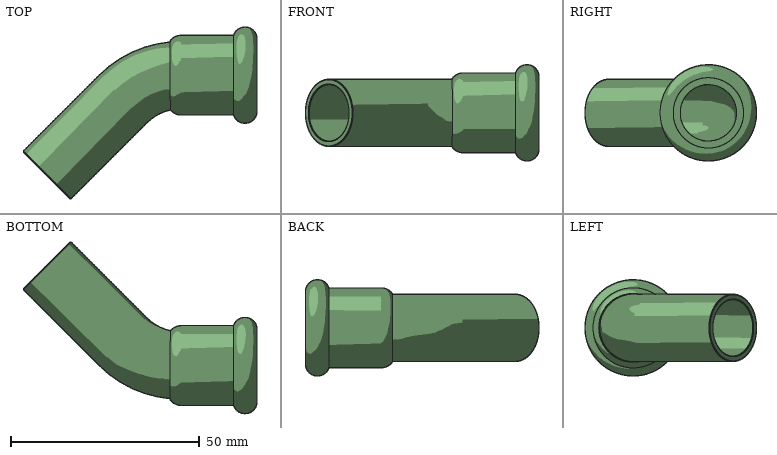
import cadquery as cq
import math


pipe_diameter = 18.0
pipe_bore = 15.0
bend_angle = 45
bend_radius = 21.6
straight_length = 28.7
end_chamfer = 0.2

socket_diameter = 21.3
socket_bore = 18.7
socket_depth = 20.15
bend_to_mouth = 20.4
shoulder_length = 3.0
shoulder_end_diameter = 18.3

bead_diameter = 25.7
bead_section_radius = 3.25

mouth_x = bend_to_mouth
shoulder_start_x = mouth_x - socket_depth
shoulder_end_x = shoulder_start_x - shoulder_length
bead_x = mouth_x - bead_section_radius

turn = math.radians(bend_angle)
bend_end = (-bend_radius * math.sin(turn), -bend_radius * (1 - math.cos(turn)))
pipe_direction = (-math.cos(turn), -math.sin(turn), 0)


def bent_rod(diameter):
    """Solid rod along the bend, up to the start of the straight pipe."""
    return (
        cq.Workplane("YZ")
        .circle(diameter / 2)
        .revolve(bend_angle, (-bend_radius, 0), (-bend_radius, 1))
    )


def straight_rod(diameter):
    """Solid rod from the end of the bend to the free pipe end."""
    start = cq.Plane(origin=(*bend_end, 0), xDir=(0, 0, 1), normal=pipe_direction)
    return cq.Workplane(start).circle(diameter / 2).extrude(straight_length)


def straight_pipe():
    """Straight tube with both edges of its free end chamfered."""
    tube = straight_rod(pipe_diameter).cut(straight_rod(pipe_bore))
    free_end = cq.Vector(*pipe_direction)
    return tube.faces(cq.selectors.DirectionMinMaxSelector(free_end)).chamfer(end_chamfer)


def socket_body():
    """Solid socket with a rounded shoulder that meets its side tangentially."""
    side_radius = socket_diameter / 2
    end_radius = shoulder_end_diameter / 2
    return (
        cq.Workplane("XY")
        .moveTo(shoulder_end_x, 0)
        .lineTo(bead_x, 0)
        .lineTo(bead_x, side_radius)
        .lineTo(shoulder_start_x, side_radius)
        .tangentArcPoint((shoulder_end_x, end_radius), relative=False)
        .close()
        .revolve(360, (0, 0), (1, 0))
    )


def bead():
    """Half-round rim whose section bulges around the socket mouth."""
    centre_radius = bead_diameter / 2 - bead_section_radius
    bead_start_x = bead_x - bead_section_radius
    return (
        cq.Workplane("XY")
        .moveTo(bead_start_x, 0)
        .lineTo(mouth_x, 0)
        .lineTo(mouth_x, centre_radius)
        .threePointArc((bead_x, bead_diameter / 2), (bead_start_x, centre_radius))
        .close()
        .revolve(360, (0, 0), (1, 0))
    )


def bore_along_socket(diameter, start_x):
    """Cutter along the socket axis from start_x to the mouth."""
    return (
        cq.Workplane("YZ", origin=(start_x, 0, 0))
        .circle(diameter / 2)
        .extrude(mouth_x - start_x)
    )


outer_body = socket_body().union(bead()).union(bent_rod(pipe_diameter))

result = (
    outer_body.cut(bent_rod(pipe_bore))
    .cut(bore_along_socket(pipe_bore, 0))
    .cut(bore_along_socket(socket_bore, shoulder_start_x))
    .union(straight_pipe())
)